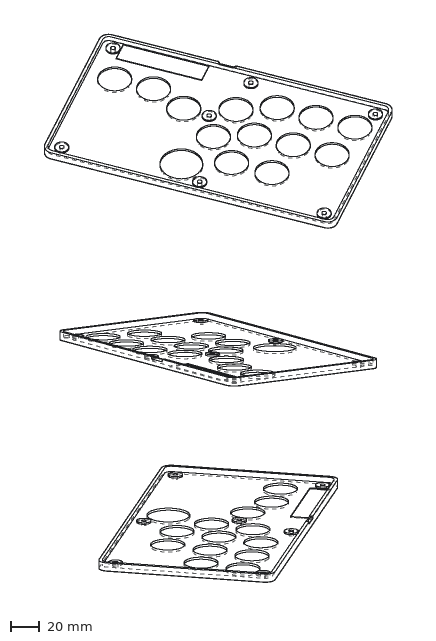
import cadquery as cq

length = 218
width = 126.5
height = 6.0
corner_radius = 7.0
wall = 2.5
floor = 2.2
cavity_length = length - 2 * wall
cavity_width = width - 2 * wall

button_diameter = 24
large_button_diameter = 30.0
button_depth = 1.5
button_pitch = 29.0
upper_row_y = 37.3
middle_row_y = 5.9
lower_row_y = -25.5
direction_row_y = 25.7
button_centres = [
    *[(30.5 + i * button_pitch, upper_row_y) for i in range(3)],
    *[(24.9 + i * button_pitch, middle_row_y) for i in range(3)],
    (19.2, lower_row_y),
    (49.3, lower_row_y),
    (-86.5, direction_row_y),
    (-86.5 + button_pitch, direction_row_y),
    (-31.0, 14.4),
    (4.0, direction_row_y),
    (-1.7, -5.2),
]
large_button_centre = (-13.5, -38.8)

pad_diameter = 10.0
pad_height = 1.0
screw_diameter = 3.3
screw_x = 97.9
screw_y = 53.0
screw_y_shift = 0.7
middle_screw_x = 5.0
screw_centres = [
    (x, screw_y_shift + y)
    for x in (-screw_x, middle_screw_x, screw_x)
    for y in (-screw_y, screw_y)
]
screw_centres.append((-11.3, 12.6))

board_left = -92.6
board_right = -28.8
board_front = 45.5
board_ledge = 0.2
board_depth = 0.7

notch_x = -16.0
notch_width = 10.7
notch_depth = 0.5
flare = 1.3


def cylinders(centres, diameter, bottom, top):
    """Upright cylinders between two heights."""
    plane = cq.Workplane("XY").workplane(offset=bottom)
    return plane.pushPoints(centres).circle(diameter / 2).extrude(top - bottom)


def tray():
    """Open tray with rounded vertical corners."""
    shell = cq.Workplane("XY").box(length, width, height, centered=(True, True, False))
    shell = shell.edges("|Z").fillet(corner_radius)
    cavity = (
        cq.Workplane("XY")
        .workplane(offset=floor)
        .rect(cavity_length, cavity_width)
        .extrude(height - floor)
        .edges("|Z")
        .fillet(corner_radius - wall)
    )
    return shell.cut(cavity)


def board_recess():
    """Rectangular recess leaving a thin ledge along the inner +Y wall."""
    size_x = board_right - board_left
    size_y = cavity_width / 2 - board_ledge - board_front
    return (
        cq.Workplane("XY", origin=(board_left, board_front, floor - board_depth))
        .box(size_x, size_y, board_depth, centered=False)
    )


def cable_notch():
    """Shallow slot through the wall plus a flared mouth on its outer side."""
    slot = cq.Workplane("XY", origin=(notch_x, width / 2 - wall, height - notch_depth)).box(
        notch_width, wall, notch_depth, centered=(True, False, False)
    )
    mouth = (
        cq.Workplane("XZ", origin=(notch_x, width / 2, height))
        .rect(notch_width + 2 * flare, 2 * (notch_depth + flare))
        .workplane(offset=flare)
        .rect(notch_width, 2 * notch_depth)
        .loft(ruled=True)
    )
    return slot.union(mouth)


result = (
    tray()
    .cut(cylinders(button_centres, button_diameter, floor - button_depth, floor))
    .cut(cylinders([large_button_centre], large_button_diameter, floor - button_depth, floor))
    .cut(board_recess())
    .union(cylinders(screw_centres, pad_diameter, floor, floor + pad_height))
    .cut(cylinders(screw_centres, screw_diameter, 0, floor + pad_height))
    .cut(cable_notch())
)